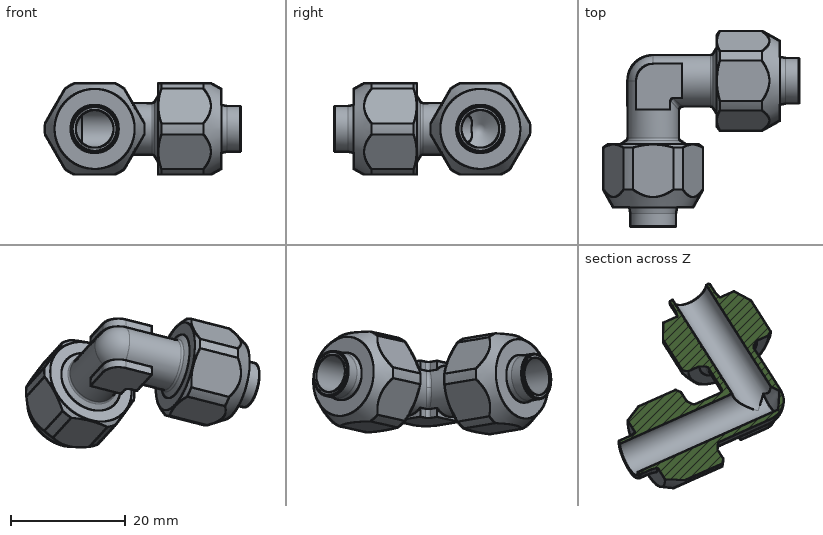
import cadquery as cq
import math

arm_length = 25.5

tolerance = 0.005

body_radius = 4.52
body_end = 10.0
body_corner_fillet = 0.6
collar_start = 10.4
collar_start_radius = 4.73
collar_end_radius = 5.72
collar_blend_angle = math.radians(60)

pad_half_width = 2.98
pad_reach = 5.05
pad_height = 2 * 5.0

nut_start = 11.03
nut_end = 22.1
nut_flats = 16.0
nut_corner_radius = 8.73
nut_back_radius = 7.88
nut_back_bevel_end = 11.65
nut_front_radius = 7.0
nut_front_bevel_start = 18.97

tube_radius = 4.0
flare_radius = 4.2
flare_end = 23.1
tube_bevel = 0.17

bore_radius = 3.3
bore_overrun = 2.23
drill_half_angle = math.radians(59)


def revolve_about_x(profile):
    """Close a half profile drawn in XY and turn it about the X axis."""
    return profile.close().revolve(360, (0, 0, 0), (1, 0, 0))


def both_arms(arm):
    """Join an arm along +X with its copy along -Y."""
    return arm.union(arm.rotate((0, 0, 0), (0, 0, 1), -90))


def is_inner_corner(edge):
    """True for edges on the diagonal plane between the arms, on the inside of the bend."""
    centre = edge.Center()
    on_diagonal = abs(centre.x + centre.y) < tolerance
    return on_diagonal and centre.x > pad_half_width - tolerance


def make_body():
    straight = cq.Workplane("YZ").circle(body_radius).extrude(body_end)
    corner = cq.Workplane("XY").sphere(body_radius)
    pad = (
        cq.Workplane("XY")
        .moveTo(0, pad_half_width)
        .lineTo(pad_reach, pad_half_width)
        .lineTo(pad_reach, -pad_half_width)
        .lineTo(pad_half_width, -pad_half_width)
        .lineTo(pad_half_width, -pad_reach)
        .lineTo(-pad_half_width, -pad_reach)
        .lineTo(-pad_half_width, 0)
        .radiusArc((0, pad_half_width), pad_half_width)
        .close()
        .extrude(pad_height / 2, both=True)
    )
    body = both_arms(straight).union(corner).union(pad)
    return body.edges().filter(is_inner_corner).fillet(body_corner_fillet)


def make_collar():
    """Rounded step and cone from the body out to the back of the nut."""
    blend_radius = (collar_start - body_end) / math.sin(collar_blend_angle)
    half_angle = collar_blend_angle / 2
    blend_middle = (
        body_end + blend_radius * math.sin(half_angle),
        body_radius + blend_radius * (1 - math.cos(half_angle)),
    )
    return revolve_about_x(
        cq.Workplane("XY")
        .moveTo(body_end, 0)
        .lineTo(body_end, body_radius)
        .threePointArc(blend_middle, (collar_start, collar_start_radius))
        .lineTo(nut_start, collar_end_radius)
        .lineTo(nut_start, 0)
    )


def make_nut():
    """Hexagon with rounded corners, bevelled at both ends."""
    hexagon = (
        cq.Workplane("YZ", origin=(nut_start, 0, 0))
        .polygon(6, nut_flats / math.cos(math.pi / 6))
        .extrude(nut_end - nut_start)
    )
    turned_envelope = revolve_about_x(
        cq.Workplane("XY")
        .moveTo(nut_start, 0)
        .lineTo(nut_start, nut_back_radius)
        .lineTo(nut_back_bevel_end, nut_corner_radius)
        .lineTo(nut_front_bevel_start, nut_corner_radius)
        .lineTo(nut_end, nut_front_radius)
        .lineTo(nut_end, 0)
    )
    return hexagon.intersect(turned_envelope)


def make_tube():
    return revolve_about_x(
        cq.Workplane("XY")
        .moveTo(nut_end, 0)
        .lineTo(nut_end, flare_radius)
        .lineTo(flare_end, tube_radius)
        .lineTo(arm_length - tube_bevel, tube_radius)
        .lineTo(arm_length, tube_radius - tube_bevel)
        .lineTo(arm_length, 0)
    )


def make_bores():
    """Drilled bore along X, met at the elbow centre by a plain bore along -Y."""
    drill_point_length = bore_radius / math.tan(drill_half_angle)
    bore_x = revolve_about_x(
        cq.Workplane("XY")
        .moveTo(-bore_overrun - drill_point_length, 0)
        .lineTo(-bore_overrun, bore_radius)
        .lineTo(arm_length, bore_radius)
        .lineTo(arm_length, 0)
    )
    bore_y = cq.Workplane("XZ").circle(bore_radius).extrude(arm_length)
    return bore_x.union(bore_y)


outer_arm = make_collar().union(make_nut()).union(make_tube())
result = make_body().union(both_arms(outer_arm)).cut(make_bores())